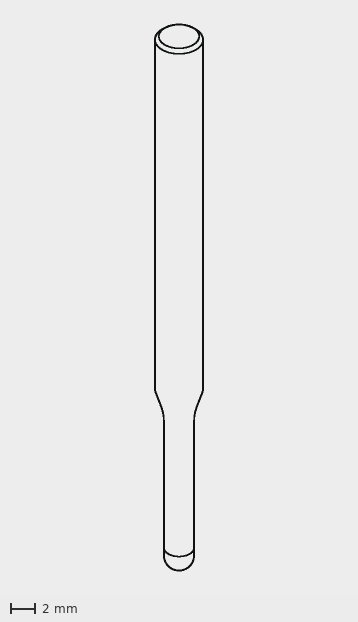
import cadquery as cq
import math

total_length = 55.0
shank_diameter = 4.0
neck_diameter = 2.55
tip_length = 2.1
neck_top = 15.2
shank_bottom = 18.5
cone_angle = 17.0
end_chamfer = 0.35

shank_radius = shank_diameter / 2
neck_radius = neck_diameter / 2
ball_radius = neck_radius

cone_slope = math.tan(math.radians(cone_angle))
meeting_height = shank_bottom - (shank_radius - neck_radius) / cone_slope
tangent_length = meeting_height - neck_top
fillet_radius = tangent_length / math.tan(math.radians(cone_angle / 2))


def fillet_point(angle):
    """Point (radius, height) on the neck fillet, turned by angle from the neck."""
    turn = math.radians(angle)
    return (
        neck_radius + fillet_radius * (1 - math.cos(turn)),
        neck_top + fillet_radius * math.sin(turn),
    )


def revolve_about_z(profile):
    """Turn a closed half profile, drawn in XZ, through a full circle."""
    return profile.revolve(360, (0, 0, 0), (0, 1, 0))


def make_ball_tip():
    """Hemisphere below a short cylinder, with a flat joint face on top."""
    arc_middle = (
        ball_radius * math.sin(math.radians(45)),
        ball_radius * (1 - math.cos(math.radians(45))),
    )
    profile = (
        cq.Workplane("XZ")
        .moveTo(0, 0)
        .threePointArc(arc_middle, (ball_radius, ball_radius))
        .lineTo(ball_radius, tip_length)
        .lineTo(0, tip_length)
        .close()
    )
    return revolve_about_z(profile)


def make_shank():
    """Straight neck, tangent fillet, cone and chamfered shank on top of the tip."""
    profile = (
        cq.Workplane("XZ")
        .moveTo(0, tip_length)
        .lineTo(neck_radius, tip_length)
        .lineTo(neck_radius, neck_top)
        .threePointArc(fillet_point(cone_angle / 2), fillet_point(cone_angle))
        .lineTo(shank_radius, shank_bottom)
        .lineTo(shank_radius, total_length - end_chamfer)
        .lineTo(shank_radius - end_chamfer, total_length)
        .lineTo(0, total_length)
        .close()
    )
    return revolve_about_z(profile)


ball_tip = make_ball_tip()
shank = make_shank()

result = cq.Compound.makeCompound([ball_tip.val(), shank.val()])